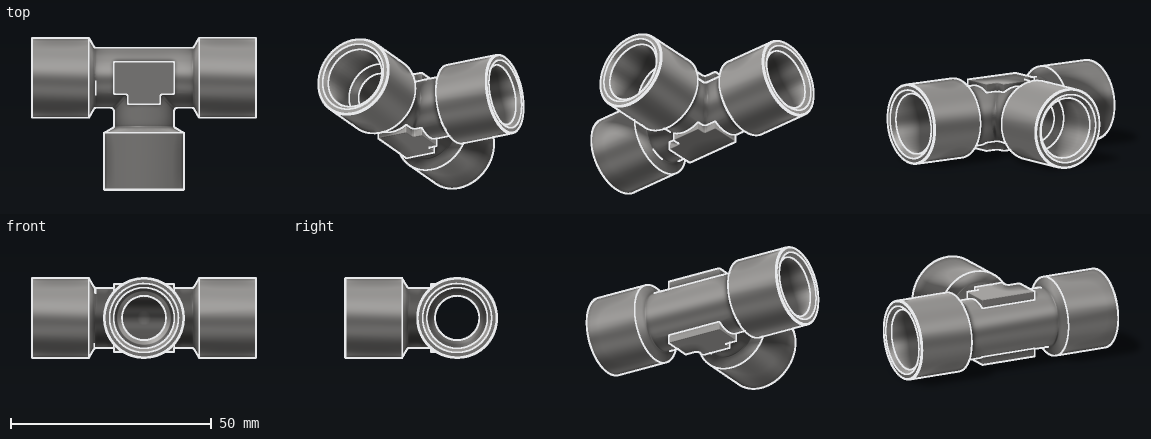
import cadquery as cq
import math

ARM_LENGTH = 28.0
SOCKET_DIAMETER = 20.0
SOCKET_LENGTH = 14.3
NECK_DIAMETER = 15.0
BORE_DIAMETER = 11.0
TAP_DIAMETER = 15.1
TAP_DEPTH = 12.0
MOUTH_DIAMETER = 17.2
LEAD_IN_ANGLE = 45.0
SHOULDER_ANGLE = 60.0
RIM_CHAMFER = 0.2
SHOULDER_FILLET = 0.5
JOINT_FILLET = 0.8

PAD_WIDTH = 15.0
PAD_HALF_DEPTH = 4.05
PAD_TONGUE_WIDTH = 8.0
PAD_TONGUE_REACH = 6.55
PAD_HEIGHT = 17.0
PAD_INNER_FILLET = 0.8
PAD_OUTER_FILLET = 0.2
PAD_FACE_FILLET = 0.15

SOCKET_RADIUS = SOCKET_DIAMETER / 2
NECK_RADIUS = NECK_DIAMETER / 2
BORE_RADIUS = BORE_DIAMETER / 2
TAP_RADIUS = TAP_DIAMETER / 2
MOUTH_RADIUS = MOUTH_DIAMETER / 2
SOCKET_START = ARM_LENGTH - SOCKET_LENGTH

ARM_ANGLES = (0, 180, -90)


def cone_length(large_radius, small_radius, angle):
    """Axial length of a cone between two radii, for an angle from its axis."""
    return (large_radius - small_radius) / math.tan(math.radians(angle))


def on_each_arm(shape):
    """Union of copies of a +X arm shape, turned to the three arm directions."""
    arms = cq.Workplane("XY")
    for angle in ARM_ANGLES:
        arms = arms.union(shape.rotate((0, 0, 0), (0, 0, 1), angle))
    return arms


def make_necks():
    """Run and branch tubes as solid cylinders, blended where they meet."""
    run = cq.Workplane("YZ").circle(NECK_RADIUS).extrude(SOCKET_START, both=True)
    branch = cq.Workplane("XZ").circle(NECK_RADIUS).extrude(SOCKET_START)
    joined = run.union(branch)
    joint_box = cq.selectors.BoxSelector(
        (-NECK_RADIUS, -NECK_RADIUS, -NECK_RADIUS),
        (NECK_RADIUS, 0, NECK_RADIUS),
    )
    return joined.edges(joint_box).fillet(JOINT_FILLET)


def make_socket():
    """Enlarged end on the +X arm, with a conical shoulder blended to the neck."""
    shoulder_foot = SOCKET_START - cone_length(SOCKET_RADIUS, NECK_RADIUS, SHOULDER_ANGLE)
    blend = SHOULDER_FILLET * math.tan(math.radians(SHOULDER_ANGLE / 2))
    slope = math.radians(SHOULDER_ANGLE)
    blend_start = (shoulder_foot - blend, NECK_RADIUS)
    blend_end = (shoulder_foot + blend * math.cos(slope), NECK_RADIUS + blend * math.sin(slope))
    return (
        cq.Workplane("XY")
        .moveTo(blend_start[0], 0)
        .lineTo(*blend_start)
        .radiusArc(blend_end, -SHOULDER_FILLET)
        .lineTo(SOCKET_START, SOCKET_RADIUS)
        .lineTo(ARM_LENGTH - RIM_CHAMFER, SOCKET_RADIUS)
        .lineTo(ARM_LENGTH, SOCKET_RADIUS - RIM_CHAMFER)
        .lineTo(ARM_LENGTH, 0)
        .close()
        .revolve(360, (0, 0, 0), (1, 0, 0))
    )


def make_arm_cavity():
    """Lead-in, tapped hole, inner cone and through bore of the +X arm."""
    lead_in = cone_length(MOUTH_RADIUS, TAP_RADIUS, LEAD_IN_ANGLE)
    tap_end = ARM_LENGTH - TAP_DEPTH
    cone_end = tap_end - cone_length(TAP_RADIUS, BORE_RADIUS, SHOULDER_ANGLE)
    outline = [
        (0, 0),
        (0, BORE_RADIUS),
        (cone_end, BORE_RADIUS),
        (tap_end, TAP_RADIUS),
        (ARM_LENGTH - lead_in, TAP_RADIUS),
        (ARM_LENGTH, MOUTH_RADIUS),
        (ARM_LENGTH, 0),
    ]
    return cq.Workplane("XY").polyline(outline).close().revolve(360, (0, 0, 0), (1, 0, 0))


def make_pads():
    """T-shaped flat pads on the top and bottom, as one block through the centre."""
    half_width = PAD_WIDTH / 2
    half_tongue = PAD_TONGUE_WIDTH / 2
    outline = [
        (-half_width, PAD_HALF_DEPTH),
        (half_width, PAD_HALF_DEPTH),
        (half_width, -PAD_HALF_DEPTH),
        (half_tongue, -PAD_HALF_DEPTH),
        (half_tongue, -PAD_TONGUE_REACH),
        (-half_tongue, -PAD_TONGUE_REACH),
        (-half_tongue, -PAD_HALF_DEPTH),
        (-half_width, -PAD_HALF_DEPTH),
    ]
    inner_corners = [(half_tongue, -PAD_HALF_DEPTH), (-half_tongue, -PAD_HALF_DEPTH)]
    block = cq.Workplane("XY").polyline(outline).close().extrude(PAD_HEIGHT / 2, both=True)
    for x, y in outline:
        radius = PAD_INNER_FILLET if (x, y) in inner_corners else PAD_OUTER_FILLET
        block = block.edges(cq.selectors.NearestToPointSelector((x, y, 0))).fillet(radius)
    return block.faces("|Z").edges().fillet(PAD_FACE_FILLET)


body = make_necks().union(on_each_arm(make_socket())).union(make_pads())
result = body.cut(on_each_arm(make_arm_cavity()))